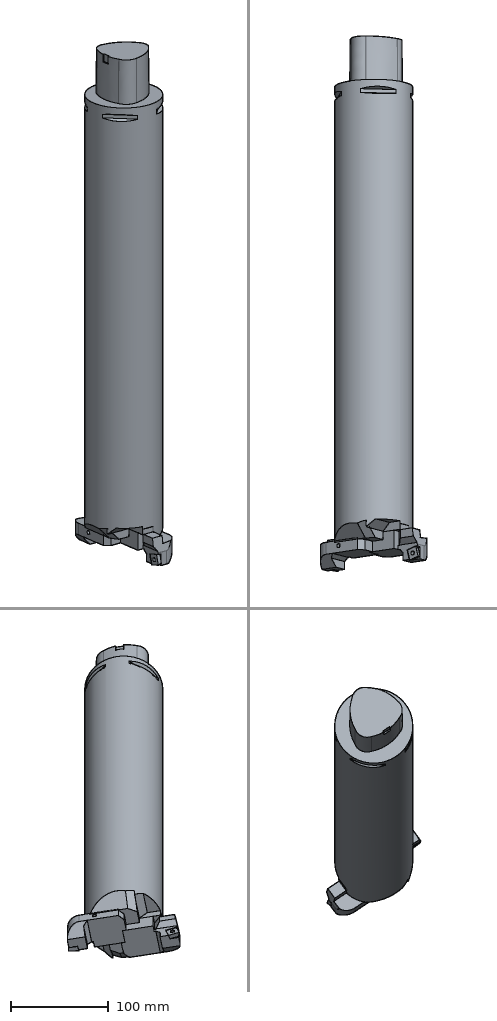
import cadquery as cq
import math

TOTAL_HEIGHT = 549.0

BAR_RADIUS = 80.0 / 2
SHANK_HEIGHT = 48.5
BAR_TOP = TOTAL_HEIGHT - SHANK_HEIGHT
BAR_END = 24.0
END_CHAMFER_START = 38.5
SIDE_FLAT_X = 39.5
SIDE_FLAT_TOP = 38.5

LOBE_TIP_RADIUS = 29.5
ARC_JOINT_RADIUS = 27.5
FLANK_RADIUS = 24.5
LOBE_ANGLES = (90, 210, 330)
LOBE_STEP = 360 / len(LOBE_ANGLES)
LOBE_HALF_ANGLE = 20
SHANK_TAPER = 0.6
KEY_NOTCH_WIDTH = 8.0
KEY_NOTCH_HEIGHT = 8.0
KEY_NOTCH_FLOOR = 22.5

GROOVE_COUNT = 4
GROOVE_DROP = 7.0
GROOVE_HEIGHT = 7.5
GROOVE_DEPTH = 4.5
GROOVE_ROOF_FALL = 2.0
GROOVE_WALL_HEIGHT = 4.0

FLUTE_WALL_X = 17.5
FLUTE_WALL_TOP = 33.0
FLUTE_FACET_START_X = 9.0
FLUTE_FACET_RISE = 5.5
FLUTE_TOP = 41.0

SLIDE_HALF_RAIL = 7.0
SLIDE_BACK_Y = 26.0
SLIDE_TAIL = 4.0
TAIL_CHAMFER_X = 5.0
TAIL_CHAMFER_Y = 6.0
SLIDE_END_X = 56.5
SLIDE_END_BEND = 16.0
SLIDE_END_TOP_X = 54.0
SLIDE_CORNER_RADIUS = 15.0
SLIDE_BOTTOM = 13.0
SLIDE_BACK_TOP = 26.0
RAIL_TOP = 32.5
HORN_BOTTOM = 1.0
HORN_INNER_X = 38.0
HORN_CHAMFER_X = 4.5
HORN_CHAMFER_Z = 4.0

RELIEF_START_X = 32.0
RELIEF_BLOCK_X = 38.5
RELIEF_GROOVE_Y = 1.0
RELIEF_BLOCK_Y = -5.5
RELIEF_SLOPE_TOP = 23.5
RELIEF_SLOPE_BOTTOM = 17.5
HORN_FACE_Y = -0.5

BACK_HOLE_DIAMETER = 4.0
BACK_HOLE_X = 26.0
BACK_HOLE_Z = 20.5
BACK_HOLE_DEPTH = 4.5

INSERT_SIDE = 11.5
INSERT_TILT = 15
INSERT_TIP_X = 116.0 / 2
INSERT_FACE_Y = -1.0
INSERT_THICKNESS = 5.0
INSERT_RELIEF = 11
INSERT_HOLE_DIAMETER = 4.0

HALF_TURN = 180
BEYOND = 110.0


def xz_prism(points, y_from, y_to):
    """Prism over (x, z) points between two Y planes."""
    return cq.Workplane("XZ", origin=(0, y_from, 0)).polyline(points).close().extrude(y_from - y_to)


def yz_prism(points, x_from, x_to):
    """Prism over (y, z) points between two X planes."""
    return cq.Workplane("YZ", origin=(x_from, 0, 0)).polyline(points).close().extrude(x_to - x_from)


def turned(shape, angle):
    """Copy of the shape turned about the bar's axis."""
    return shape.rotate((0, 0, 0), (0, 0, 1), angle)


def polar(radius, degrees):
    angle = math.radians(degrees)
    return (radius * math.cos(angle), radius * math.sin(angle))


def make_shank():
    """Shank of three lobes joined by three flanks, one lobe towards +Y, narrowing upwards."""
    outline = cq.Workplane("XY", origin=(0, 0, BAR_TOP))
    outline = outline.moveTo(*polar(ARC_JOINT_RADIUS, LOBE_ANGLES[0] - LOBE_HALF_ANGLE))
    for lobe in LOBE_ANGLES:
        outline = outline.threePointArc(
            polar(LOBE_TIP_RADIUS, lobe),
            polar(ARC_JOINT_RADIUS, lobe + LOBE_HALF_ANGLE),
        )
        outline = outline.threePointArc(
            polar(FLANK_RADIUS, lobe + LOBE_STEP / 2),
            polar(ARC_JOINT_RADIUS, lobe + LOBE_STEP - LOBE_HALF_ANGLE),
        )
    shank = outline.close().extrude(SHANK_HEIGHT, taper=SHANK_TAPER)
    notch = cq.Workplane("XY").box(KEY_NOTCH_WIDTH, BEYOND, KEY_NOTCH_HEIGHT, centered=(True, False, False))
    return shank.cut(notch.translate((0, -KEY_NOTCH_FLOOR - BEYOND, TOTAL_HEIGHT - KEY_NOTCH_HEIGHT)))


def cut_gripper_grooves(bar):
    """Flat-walled grooves with a sloped roof and floor, midway between the X and Y axes."""
    top = BAR_TOP - GROOVE_DROP
    wall_top = top - GROOVE_ROOF_FALL
    wall_x = BAR_RADIUS - GROOVE_DEPTH
    section = [
        (BAR_RADIUS, top),
        (wall_x, wall_top),
        (wall_x, wall_top - GROOVE_WALL_HEIGHT),
        (BAR_RADIUS, top - GROOVE_HEIGHT),
    ]
    groove = xz_prism(section, -BAR_RADIUS, BAR_RADIUS)
    step = 360 / GROOVE_COUNT
    for i in range(GROOVE_COUNT):
        bar = bar.cut(turned(groove, (i + 0.5) * step))
    return bar


def cut_bar_end(bar):
    """45 degree slopes on +Y and -Y, flats on +X and -X, and a chip flute for each insert."""
    slope = yz_prism(
        [
            (-BAR_RADIUS, END_CHAMFER_START),
            (-BAR_RADIUS + END_CHAMFER_START, 0),
            (-BAR_RADIUS, 0),
        ],
        -BEYOND,
        BEYOND,
    )
    flat = cq.Workplane("XY").box(BEYOND, 2 * BEYOND, SIDE_FLAT_TOP, centered=(False, True, False))
    flat = flat.translate((SIDE_FLAT_X, 0, 0))
    flute = xz_prism(
        [
            (FLUTE_WALL_X, 0),
            (FLUTE_WALL_X, FLUTE_WALL_TOP),
            (FLUTE_WALL_X + FLUTE_TOP - FLUTE_WALL_TOP, FLUTE_TOP),
            (BEYOND, FLUTE_TOP),
            (BEYOND, 0),
        ],
        -BEYOND,
        -SLIDE_HALF_RAIL,
    )
    facet_section = cq.Wire.makePolygon(
        [
            cq.Vector(FLUTE_FACET_START_X, 0, END_CHAMFER_START - BAR_RADIUS),
            cq.Vector(FLUTE_WALL_X, 0, END_CHAMFER_START - BAR_RADIUS),
            cq.Vector(FLUTE_WALL_X, 0, END_CHAMFER_START - BAR_RADIUS + FLUTE_FACET_RISE),
        ],
        close=True,
    )
    along_slope = cq.Vector(0, -BEYOND, BEYOND)
    facet = cq.Workplane(cq.Solid.extrudeLinear(facet_section, [], along_slope))
    for cutter in (slope, facet, flat, flute):
        bar = bar.cut(cutter).cut(turned(cutter, HALF_TURN))
    return bar


def insert_outline(side, inset):
    """Corners (x, z) of a tilted square grown from the insert's upper inner corner, then inset."""
    tilt = math.radians(INSERT_TILT)
    along_x, along_z = math.cos(tilt), math.sin(tilt)
    down_x, down_z = math.sin(tilt), -math.cos(tilt)
    seat_x = INSERT_TIP_X - INSERT_SIDE * (along_x + down_x)
    seat_z = -INSERT_SIDE * down_z
    near, far = inset, side - inset
    return [
        (seat_x + a * along_x + d * down_x, seat_z + a * along_z + d * down_z)
        for a, d in ((near, near), (far, near), (far, far), (near, far))
    ]


def make_insert_block(side):
    """Tilted square block with sides that narrow behind its front face."""
    inset = INSERT_THICKNESS * math.tan(math.radians(INSERT_RELIEF))
    return (
        cq.Workplane("XZ", origin=(0, INSERT_FACE_Y, 0))
        .polyline(insert_outline(side, 0))
        .close()
        .workplane(offset=-INSERT_THICKNESS)
        .polyline(insert_outline(side, inset))
        .close()
        .loft(ruled=True)
    )


def make_insert():
    """Square insert with a hole through its middle."""
    block = make_insert_block(INSERT_SIDE)
    middle = block.faces("<Y").val().Center()
    hole = cq.Workplane("XZ", origin=(middle.x, -BEYOND, middle.z)).circle(INSERT_HOLE_DIAMETER / 2)
    return block.cut(hole.extrude(-2 * BEYOND))


def make_slide_blank():
    """Shape common to the slide's plan, end profile and front profile."""
    plan = (
        cq.Workplane("XY")
        .moveTo(0, -SLIDE_HALF_RAIL)
        .lineTo(SLIDE_END_X, -SLIDE_HALF_RAIL)
        .lineTo(SLIDE_END_X, SLIDE_BACK_Y - SLIDE_CORNER_RADIUS)
        .radiusArc((SLIDE_END_X - SLIDE_CORNER_RADIUS, SLIDE_BACK_Y), -SLIDE_CORNER_RADIUS)
        .lineTo(TAIL_CHAMFER_X - SLIDE_TAIL, SLIDE_BACK_Y)
        .lineTo(-SLIDE_TAIL, SLIDE_BACK_Y - TAIL_CHAMFER_Y)
        .lineTo(-SLIDE_TAIL, SLIDE_HALF_RAIL)
        .lineTo(0, SLIDE_HALF_RAIL)
        .close()
        .extrude(RAIL_TOP)
    )
    end_profile = yz_prism(
        [
            (-SLIDE_HALF_RAIL, HORN_BOTTOM),
            (SLIDE_BACK_Y - (SLIDE_BOTTOM - HORN_BOTTOM), HORN_BOTTOM),
            (SLIDE_BACK_Y, SLIDE_BOTTOM),
            (SLIDE_BACK_Y, SLIDE_BACK_TOP),
            (SLIDE_HALF_RAIL, BAR_END),
            (SLIDE_HALF_RAIL, RAIL_TOP),
            (-SLIDE_HALF_RAIL, RAIL_TOP),
        ],
        -BEYOND,
        BEYOND,
    )
    front_profile = xz_prism(
        [
            (-SLIDE_TAIL, SLIDE_BOTTOM),
            (HORN_INNER_X - HORN_CHAMFER_X, SLIDE_BOTTOM),
            (HORN_INNER_X, SLIDE_BOTTOM - HORN_CHAMFER_Z),
            (HORN_INNER_X, HORN_BOTTOM),
            (SLIDE_END_X, HORN_BOTTOM),
            (SLIDE_END_X, SLIDE_END_BEND),
            (SLIDE_END_TOP_X, RAIL_TOP),
            (FLUTE_WALL_X, RAIL_TOP),
            (FLUTE_WALL_X, SLIDE_BACK_TOP),
            (-SLIDE_TAIL, SLIDE_BACK_TOP),
        ],
        -BEYOND,
        BEYOND,
    )
    return plan.intersect(end_profile).intersect(front_profile)


def make_slide(slide_blank):
    """Slide with its front face relieved, the insert seat and the back hole cut out of the blank."""
    face_relief = yz_prism(
        [
            (-BEYOND, HORN_BOTTOM),
            (HORN_FACE_Y, HORN_BOTTOM),
            (HORN_FACE_Y, RELIEF_SLOPE_BOTTOM),
            (RELIEF_BLOCK_Y, RELIEF_SLOPE_TOP),
            (RELIEF_BLOCK_Y, RAIL_TOP),
            (-BEYOND, RAIL_TOP),
        ],
        RELIEF_START_X,
        BEYOND,
    )
    slant_groove = (
        cq.Workplane("XY", origin=(0, 0, RELIEF_SLOPE_BOTTOM))
        .moveTo(RELIEF_START_X, RELIEF_BLOCK_Y)
        .lineTo(RELIEF_START_X, RELIEF_GROOVE_Y)
        .lineTo(RELIEF_BLOCK_X, RELIEF_BLOCK_Y)
        .close()
        .extrude(RAIL_TOP - RELIEF_SLOPE_BOTTOM)
    )
    insert_seat = make_insert_block(2 * INSERT_SIDE)
    back_hole = (
        cq.Workplane("XZ", origin=(BACK_HOLE_X, SLIDE_BACK_Y, BACK_HOLE_Z))
        .circle(BACK_HOLE_DIAMETER / 2)
        .extrude(BACK_HOLE_DEPTH)
    )
    slide = slide_blank
    for cutter in (face_relief, slant_groove, insert_seat, back_hole):
        slide = slide.cut(cutter)
    return slide


def make_bar(slide_blank):
    """Round bar and shank in one solid, with room for both slides at its lower end."""
    bar = cq.Workplane("XY", origin=(0, 0, BAR_END)).circle(BAR_RADIUS).extrude(BAR_TOP - BAR_END)
    bar = cut_gripper_grooves(bar)
    bar = cut_bar_end(bar)
    bar = bar.cut(slide_blank).cut(turned(slide_blank, HALF_TURN))
    return bar.union(make_shank())


slide_blank = make_slide_blank()
boring_bar = make_bar(slide_blank)

slides = []
inserts = []
for angle in (0, HALF_TURN):
    slides.append(turned(make_slide(slide_blank), angle))
    inserts.append(turned(make_insert(), angle))

result = cq.Compound.makeCompound([boring_bar.val()] + [body.val() for body in slides + inserts])